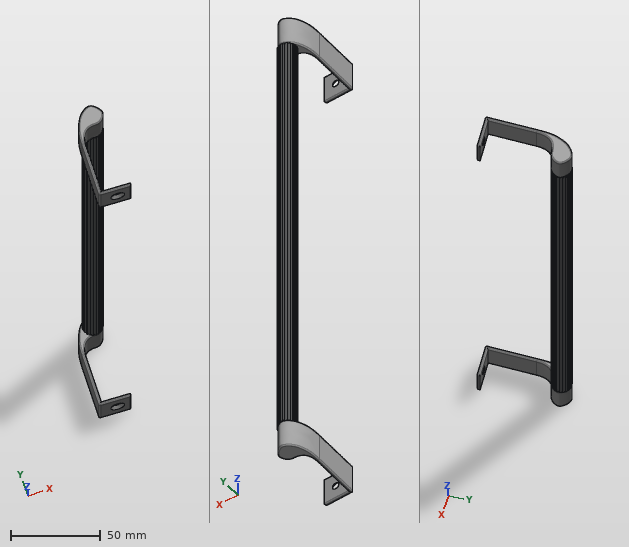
import cadquery as cq

handle_length = 340.0
foot_width = 19.0
handle_depth = 53.1

bracket_height = 20.0
sheet_thickness = 2.0
foot_corner_radius = 1.0
edge_radius = 0.8
inner_neck_y = 30.0
outer_neck_y = 32.0
flank_x = 3.2

grip_radius = 6.0
grip_x = 11.0
grip_y = handle_depth - grip_radius

hole_diameter = 4.4
countersink_diameter = 8.0
countersink_angle = 90.0

flute_count = 22
flute_radius = 0.4


def bracket_outline(bottom_z):
    """Closed profile of foot, arm and head, in the XY plane at the bracket's lower end."""
    head = [
        ((sheet_thickness, inner_neck_y), (0, 1)),
        ((grip_x, grip_y - grip_radius), (1, 0)),
        ((grip_x + grip_radius, grip_y), (0, 1)),
        ((grip_x, grip_y + grip_radius), (-1, 0)),
        ((flank_x, grip_y), (-0.5, -1)),
        ((0, outer_neck_y), (0, -1)),
    ]
    points = [point for point, direction in head]
    directions = [direction for point, direction in head]
    return (
        cq.Workplane("XY", origin=(0, 0, bottom_z))
        .lineTo(foot_width, 0)
        .lineTo(foot_width, sheet_thickness)
        .lineTo(sheet_thickness, sheet_thickness)
        .lineTo(*points[0])
        .spline(points[1:], tangents=directions, includeCurrent=True)
        .close()
    )


def bracket(bottom_z):
    body = bracket_outline(bottom_z).extrude(bracket_height)
    body = body.edges("|Z and <Y").fillet(foot_corner_radius)
    body = body.faces("<Z or >Z").edges().fillet(edge_radius)
    hole_center = (grip_x, 0, bottom_z + bracket_height / 2)
    foot_face = body.faces("<Y").workplane(origin=hole_center)
    return foot_face.cskHole(
        hole_diameter, countersink_diameter, countersink_angle, depth=sheet_thickness
    )


def fluted_bar():
    bar_length = handle_length - 2 * bracket_height
    base = cq.Workplane("XY", origin=(grip_x, grip_y, bracket_height))
    rod = base.circle(grip_radius).extrude(bar_length)
    flutes = (
        base.polarArray(grip_radius, 0, 360, flute_count)
        .circle(flute_radius)
        .extrude(bar_length)
    )
    return rod.cut(flutes)


brackets = [bracket(bottom_z) for bottom_z in (0, handle_length - bracket_height)]
bar = fluted_bar()

result = cq.Compound.makeCompound([*[item.val() for item in brackets], bar.val()])